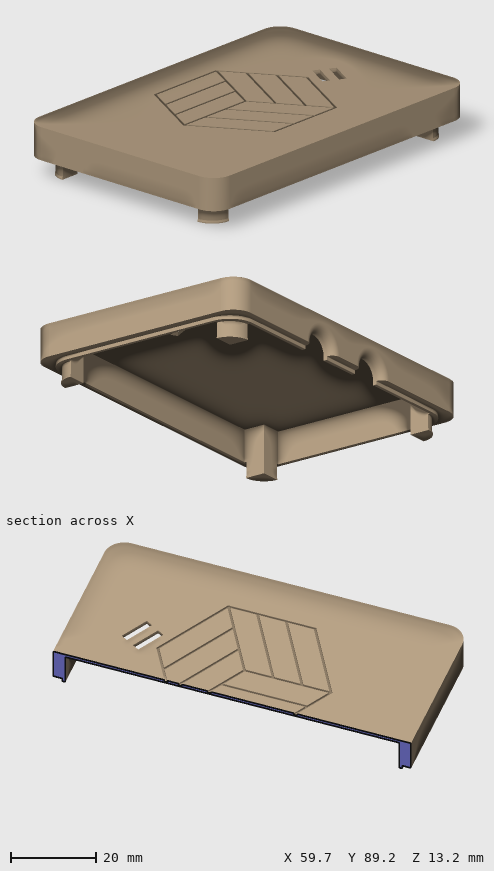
import cadquery as cq
import math

LENGTH = 89.25
WIDTH = 59.7
BODY_HEIGHT = 8.3
CORNER_RADIUS = 5.0
TOP_THICKNESS = 1.0
CAVITY_INSET = 3.0

LIP_INSET = 2.1
LIP_HEIGHT = 0.9
PEG_CENTER_INSET = 8.7
PEG_RADIUS = 5.1
PEG_HEIGHT = 4.0
RIDGE_HEIGHT = 0.7
RIDGE_SLOPE_HEIGHT = 0.45
RIDGE_DEPTH = 0.2
LIP_CORNER_RADIUS = PEG_CENTER_INSET - LIP_INSET
CAVITY_CORNER_RADIUS = PEG_CENTER_INSET - CAVITY_INSET
LIP_BOTTOM = -LIP_HEIGHT
PEG_BOTTOM = LIP_BOTTOM - PEG_HEIGHT

ARCH_RADIUS = 4.3
ARCH_ROUNDING = 2.0
ARCH_Y = (10.6, -9.1)

SLOT_LENGTH = 7.7
SLOT_WIDTH = 1.9
SLOT_PITCH = 4.1
SLOT_ANGLE = -30.0
FIRST_SLOT_X = 3.0
FIRST_SLOT_Y = 28.6
SLOT_COUNT = 2

CUBE_X = -0.8
CUBE_Y = 0.4
CUBE_RADIUS = 22.0
GROOVE_WIDTH = 0.6
GROOVE_DEPTH = 0.49
STRIPES = 3
FACE_ANGLES = (0, 120, 240)
CUBE_TILT = math.radians(30)


def rounded_block(inset, radius, bottom, top):
    """Block set in from the lid outline, with rounded upright edges."""
    return (
        cq.Workplane("XY")
        .workplane(offset=bottom)
        .rect(WIDTH - 2 * inset, LENGTH - 2 * inset)
        .extrude(top - bottom)
        .edges("|Z")
        .fillet(radius)
    )


def make_shell():
    """Hollow lid, open below, with a lip stepped in around its lower rim."""
    body = rounded_block(0, CORNER_RADIUS, 0, BODY_HEIGHT)
    lip = rounded_block(LIP_INSET, LIP_CORNER_RADIUS, LIP_BOTTOM, 0)
    cavity = rounded_block(
        CAVITY_INSET, CAVITY_CORNER_RADIUS, LIP_BOTTOM, BODY_HEIGHT - TOP_THICKNESS
    )
    return body.union(lip).cut(cavity)


def arch_cutter(y):
    """Round-topped opening that flares out to the outer face of the -X wall."""
    outer_x = -WIDTH / 2
    inner_x = outer_x + CAVITY_INSET
    flare_radius = ARCH_RADIUS + ARCH_ROUNDING
    midpoint_offset = ARCH_ROUNDING * (1 - math.sqrt(0.5))
    flared_hole = (
        cq.Workplane("XY")
        .moveTo(outer_x, y)
        .lineTo(outer_x, y + flare_radius)
        .threePointArc(
            (outer_x + midpoint_offset, y + ARCH_RADIUS + midpoint_offset),
            (outer_x + ARCH_ROUNDING, y + ARCH_RADIUS),
        )
        .lineTo(inner_x, y + ARCH_RADIUS)
        .lineTo(inner_x, y)
        .close()
        .revolve(360, (outer_x, y, 0), (inner_x, y, 0))
    )
    lip_gap = (
        cq.Workplane("XY")
        .box(CAVITY_INSET, 2 * ARCH_RADIUS, LIP_HEIGHT, centered=(False, True, False))
        .translate((outer_x, y, LIP_BOTTOM))
    )
    upper_half = cq.Workplane("XY").box(
        WIDTH, LENGTH, BODY_HEIGHT, centered=(True, True, False)
    )
    return flared_hole.intersect(upper_half).union(lip_gap)


def quarter_disc(radius, bottom, top):
    """Quarter cylinder about the Z axis, filling the +X +Y quadrant."""
    diagonal = radius * math.sqrt(0.5)
    return (
        cq.Workplane("XY")
        .workplane(offset=bottom)
        .lineTo(radius, 0)
        .threePointArc((diagonal, diagonal), (0, radius))
        .close()
        .extrude(top - bottom)
    )


def make_pegs():
    """Corner posts from the ceiling to below the lip, joined to the cavity corner."""
    ceiling = BODY_HEIGHT - TOP_THICKNESS
    post = quarter_disc(PEG_RADIUS, PEG_BOTTOM, LIP_BOTTOM)
    root = quarter_disc(CAVITY_CORNER_RADIUS, LIP_BOTTOM, ceiling)
    ridge = (
        quarter_disc(PEG_RADIUS + RIDGE_DEPTH, PEG_BOTTOM, PEG_BOTTOM + RIDGE_HEIGHT)
        .faces(">Z")
        .edges("%CIRCLE")
        .chamfer(RIDGE_SLOPE_HEIGHT, RIDGE_DEPTH)
    )
    peg = post.union(root).union(ridge)
    peg = peg.translate((WIDTH / 2 - PEG_CENTER_INSET, LENGTH / 2 - PEG_CENTER_INSET, 0))
    pair = peg.union(peg.mirror("YZ"))
    return pair.union(pair.mirror("XZ"))


def slot_cutter():
    """Row of parallel slots, stepping across their own width."""
    slots = (
        cq.Workplane("XY")
        .pushPoints([(0, -i * SLOT_PITCH) for i in range(SLOT_COUNT)])
        .rect(SLOT_LENGTH, SLOT_WIDTH)
        .extrude(TOP_THICKNESS)
    )
    return slots.rotate((0, 0, 0), (0, 0, 1), SLOT_ANGLE).translate(
        (FIRST_SLOT_X, FIRST_SLOT_Y, BODY_HEIGHT - TOP_THICKNESS)
    )


def hexagon(radius):
    """Groove-deep hexagonal prism with a corner pointing along +Y."""
    corners = [CUBE_TILT + i * math.pi / 3 for i in range(6)]
    outline = [(radius * math.cos(a), radius * math.sin(a)) for a in corners]
    return cq.Workplane("XY").polyline(outline).close().extrude(GROOVE_DEPTH)


def face_grooves():
    """Upright grooves of the lower-left cube face: its right edge and its dividers."""
    apothem = CUBE_RADIUS * math.cos(CUBE_TILT)
    pitch = (apothem - GROOVE_WIDTH / 2) / STRIPES
    grooves = cq.Workplane("XY")
    for i in range(STRIPES):
        setback = i * pitch
        top = setback * math.tan(CUBE_TILT)
        grooves = grooves.moveTo(-setback, top - CUBE_RADIUS / 2).rect(GROOVE_WIDTH, CUBE_RADIUS)
    return grooves.extrude(GROOVE_DEPTH)


def cube_cutter():
    """Hexagon rim plus the striped grooves of the three cube faces."""
    outer = hexagon(CUBE_RADIUS)
    lines = outer.cut(hexagon(CUBE_RADIUS - GROOVE_WIDTH / math.cos(CUBE_TILT)))
    for angle in FACE_ANGLES:
        lines = lines.union(face_grooves().rotate((0, 0, 0), (0, 0, 1), angle))
    return lines.intersect(outer).translate((CUBE_X, CUBE_Y, BODY_HEIGHT - GROOVE_DEPTH))


result = make_shell().union(make_pegs())
for arch_y in ARCH_Y:
    result = result.cut(arch_cutter(arch_y))
result = result.cut(slot_cutter()).cut(cube_cutter())